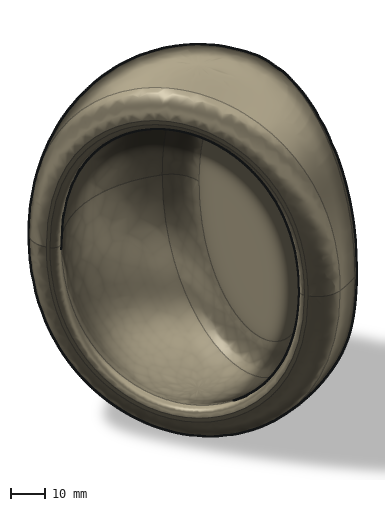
import cadquery as cq
import math

body_radius = 50.0
body_half_height = 60.0
wall = 10.0
pole_fullness = 0.45
equator_fullness = 0.7

back_angle = 16.2
back_distance = 30.0
front_angle = 51.2
front_distance = 18.0
outer_seam_angle = 40.0
cavity_seam_angle = (back_angle + front_angle) / 2

outer_round = 8.0
floor_round = 10.0
mouth_round = 2.5

block_size = 4 * body_half_height


def egg(radius, half_height, seam_angle):
    """Slightly squared-off ellipsoid about Z, with its seam at seam_angle."""
    pole_handle = pole_fullness * radius
    equator_handle = equator_fullness * half_height
    half_section = (
        cq.Workplane("XZ")
        .moveTo(0, -half_height)
        .bezier(
            [(pole_handle, -half_height), (radius, -equator_handle), (radius, 0)],
            includeCurrent=True,
        )
        .bezier(
            [(radius, equator_handle), (pole_handle, half_height), (0, half_height)],
            includeCurrent=True,
        )
        .close()
    )
    solid = half_section.revolve(360, (0, 0), (0, 1))
    return solid.rotate((0, 0, 0), (0, 0, 1), seam_angle)


def half_space(angle, distance, side):
    """Block beyond a vertical plane slanted by angle; side is +1 for +Y, -1 for -Y."""
    block = cq.Workplane("XY").box(block_size, block_size, block_size)
    block = block.translate((0, side * (distance + block_size / 2), 0))
    return block.rotate((0, 0, 0), (0, 0, 1), angle)


body = (
    egg(body_radius, body_half_height, outer_seam_angle)
    .cut(half_space(back_angle, back_distance, 1))
    .cut(half_space(front_angle, front_distance, -1))
    .faces("%PLANE")
    .edges()
    .fillet(outer_round)
)

cavity = (
    egg(body_radius - wall, body_half_height - wall, cavity_seam_angle)
    .cut(half_space(back_angle, back_distance - wall, 1))
    .faces("%PLANE")
    .edges()
    .fillet(floor_round)
)
shell = body.cut(cavity)

slant = math.radians(front_angle)
front_direction = cq.Vector(math.sin(slant), -math.cos(slant), 0)
mouth_ring = shell.faces("%PLANE").faces(cq.selectors.DirectionMinMaxSelector(front_direction))
mouth_edges = mouth_ring.val().innerWires()[0].Edges()
result = shell.newObject(mouth_edges).fillet(mouth_round)